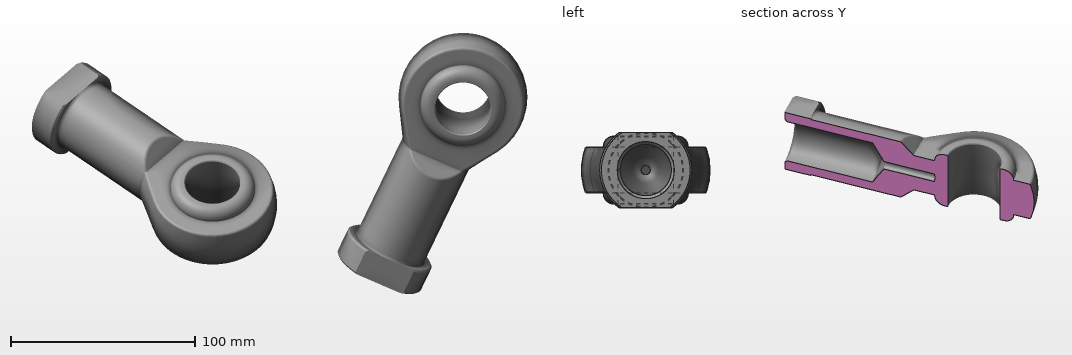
import cadquery as cq
import math

shank_length = 110.0
shank_radius = 20.0
head_radius = 35.0
neck_start_x = -35.0
head_thickness = 25.0
slant_angle = 45.0
head_edge_fillet = 1.5

collar_radius = 25.0
collar_length = 15.0
collar_across_flats = 41.0
collar_chamfer = 0.9
collar_root_fillet = 2.0

bore_diameter = 27.8
bore_mouth_diameter = 31.0
bore_depth = 51.0
drill_point_angle = 120.0
passage_diameter = 5.0

ring_radius = 23.1
ring_width = 37.0
ring_edge_fillet = 6.0
ring_bore_diameter = 30.0
ring_bore_chamfer = 0.5

end_x = -shank_length
collar_end_x = end_x + collar_length
start_distance = math.hypot(neck_start_x, shank_radius)
tangent_angle = math.acos(head_radius / start_distance) + math.atan2(shank_radius, -neck_start_x)
tangent_x = -head_radius * math.cos(tangent_angle)
tangent_radius = head_radius * math.sin(tangent_angle)
head_half = head_thickness / 2


def make_blank():
    """Shank, neck cone and head sphere turned about the X axis."""
    return (
        cq.Workplane("XY")
        .moveTo(collar_end_x, 0)
        .lineTo(collar_end_x, shank_radius)
        .lineTo(neck_start_x, shank_radius)
        .lineTo(tangent_x, tangent_radius)
        .threePointArc((0, head_radius), (head_radius, 0))
        .close()
        .revolve(360, (0, 0, 0), (1, 0, 0))
    )


def flatten_head(blank):
    """Cut both head flats with their ramps, then round their rims."""
    ramp_top = 2 * shank_radius
    ramp_run = (ramp_top - head_half) / math.tan(math.radians(slant_angle))
    far_x = 2 * head_radius
    waste = (
        cq.Workplane("XZ")
        .moveTo(neck_start_x, head_half)
        .lineTo(neck_start_x - ramp_run, ramp_top)
        .lineTo(far_x, ramp_top)
        .lineTo(far_x, head_half)
        .close()
        .extrude(2 * head_radius, both=True)
    )
    body = blank.cut(waste).cut(waste.mirror("XY"))
    rim = body.edges("%ELLIPSE or %HYPERBOLA").add(body.faces("<Z or >Z").edges("%CIRCLE"))
    return rim.fillet(head_edge_fillet)


def make_collar():
    """Chamfered round collar with a root fillet, cut to two wrench flats."""
    face_radius = collar_radius - collar_chamfer
    root_radius = collar_across_flats / 2
    root_angle = math.acos(1 - (root_radius - shank_radius) / collar_root_fillet)
    root_end_x = collar_end_x + collar_root_fillet * math.sin(root_angle)
    root_mid_x = root_end_x - collar_root_fillet * math.sin(root_angle / 2)
    root_mid_radius = shank_radius + collar_root_fillet * (1 - math.cos(root_angle / 2))
    collar = (
        cq.Workplane("XY")
        .moveTo(end_x, 0)
        .lineTo(end_x, face_radius)
        .lineTo(end_x + collar_chamfer, collar_radius)
        .lineTo(collar_end_x - collar_chamfer, collar_radius)
        .lineTo(collar_end_x, face_radius)
        .lineTo(collar_end_x, root_radius)
        .threePointArc((root_mid_x, root_mid_radius), (root_end_x, shank_radius))
        .lineTo(root_end_x, 0)
        .close()
        .revolve(360, (0, 0, 0), (1, 0, 0))
    )
    flats = cq.Workplane("XY").box(3 * shank_length, 4 * collar_radius, collar_across_flats)
    return collar.intersect(flats)


def make_bore():
    """Countersunk bore with a drill point, and a passage ending on the ring."""
    bore_radius = bore_diameter / 2
    mouth_radius = bore_mouth_diameter / 2
    passage_radius = passage_diameter / 2
    bore_end_x = end_x + bore_depth
    point_length = (bore_radius - passage_radius) / math.tan(math.radians(drill_point_angle / 2))
    return (
        cq.Workplane("XY")
        .moveTo(end_x, 0)
        .lineTo(end_x, mouth_radius)
        .lineTo(end_x + mouth_radius - bore_radius, bore_radius)
        .lineTo(bore_end_x, bore_radius)
        .lineTo(bore_end_x + point_length, passage_radius)
        .lineTo(0, passage_radius)
        .lineTo(0, 0)
        .close()
        .revolve(360, (0, 0, 0), (1, 0, 0))
    )


def make_ring():
    """Inner ring with large rounded outer edges."""
    ring = cq.Workplane("XY").circle(ring_radius).extrude(ring_width / 2, both=True)
    return ring.edges("%CIRCLE").fillet(ring_edge_fillet)


def make_ring_bore():
    """Through bore of the ring, chamfered at both mouths."""
    bore_radius = ring_bore_diameter / 2
    half = ring_width / 2
    return (
        cq.Workplane("XZ")
        .moveTo(0, -half)
        .lineTo(bore_radius + ring_bore_chamfer, -half)
        .lineTo(bore_radius, -half + ring_bore_chamfer)
        .lineTo(bore_radius, half - ring_bore_chamfer)
        .lineTo(bore_radius + ring_bore_chamfer, half)
        .lineTo(0, half)
        .close()
        .revolve(360, (0, 0, 0), (0, 1, 0))
    )


body = flatten_head(make_blank())
body = body.union(make_collar()).cut(make_bore())
result = body.union(make_ring()).cut(make_ring_bore())